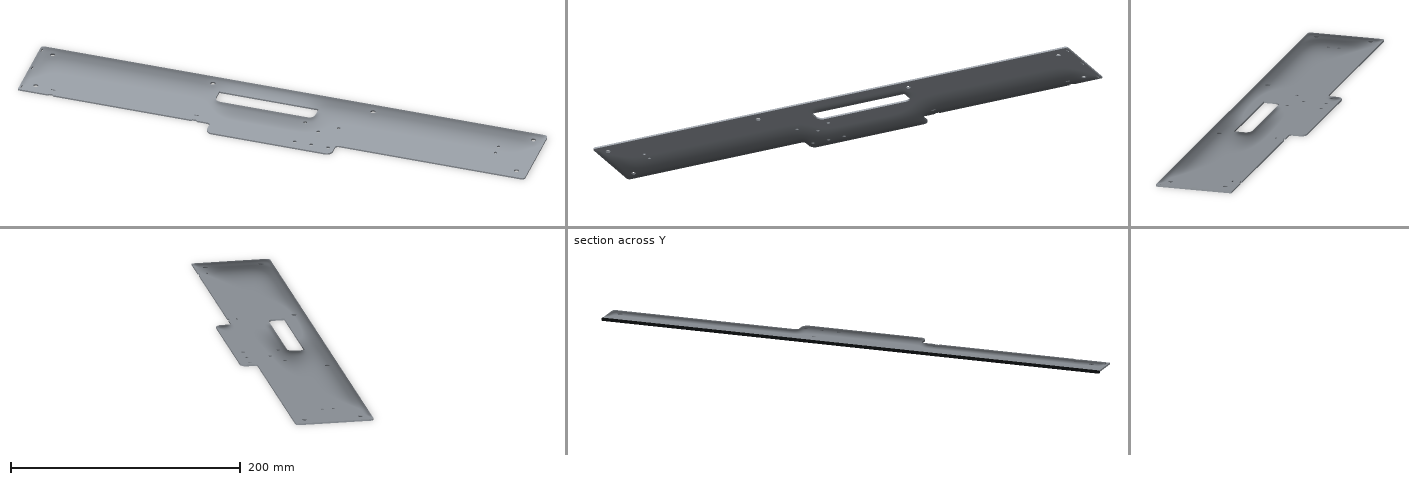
import cadquery as cq

length = 462.0
thickness = 1.5
total_width = 83.5
plate_width = 69.5
plate_corner_radius = 3.0

tab_left = 175.5
tab_right = 290.0
tab_depth = total_width - plate_width
tab_corner_radius = 5.5
tab_root_radius = 3.0

window_left = 168.5
window_right = 259.0
window_top = plate_width - 21.0
window_bottom = plate_width - 35.5
window_corner_radius = 5.5

mount_diameter = 4.4
mount_columns = 4
mount_margin = 10.0
mount_first_x = 13.5
mount_last_x = length - mount_margin
mount_pitch = (mount_last_x - mount_first_x) / (mount_columns - 1)
mount_upper_y = plate_width - mount_margin
mount_lower_y = 9.5

bracket_diameter = 3.15
bracket_center_x = 269.5
bracket_pitch = 15.2
bracket_upper_y = 26.0
bracket_middle_y = 15.5
bracket_lower_y = -5.0

pair_diameter = 3.0
pair_x = 426.0
pair_center_y = 35.5
pair_spacing = 9.5

slot_length = 4.0
slot_width = 1.15
notch_depth = 1.15
lower_slot_x = (30.0, 161.0)
lower_slot_y = 8.0
left_slot_x = 2.5
left_slot_y = (4.5, plate_width / 2, plate_width - 6.0)


def slab(left, right, bottom, top):
    """Rectangular block as thick as the plate."""
    block = cq.Workplane("XY").box(right - left, top - bottom, thickness, centered=False)
    return block.translate((left, bottom, 0))


def slot(center_x, center_y, size_x, size_y):
    """Rectangular through cutter around a centre point."""
    return cq.Workplane("XY").center(center_x, center_y).rect(size_x, size_y).extrude(thickness)


def round_holes(points, diameter):
    """Round through cutters at the given points."""
    return cq.Workplane("XY").pushPoints(points).circle(diameter / 2).extrude(thickness)


def make_blank():
    """Plate and tab; the lower left plate corner stays sharp."""
    plate = slab(0, length, 0, plate_width)
    plate = plate.edges("|Z and (>X or >Y)").fillet(plate_corner_radius)
    tab = slab(tab_left, tab_right, -tab_depth, plate_width / 2)
    tab = tab.edges("|Z and <Y").fillet(tab_corner_radius)
    reach = tab_root_radius / 2
    roots = cq.selectors.BoxSelector(
        (tab_left - reach, -reach, 0),
        (tab_right + reach, reach, thickness),
    )
    return plate.union(tab).edges("|Z").edges(roots).fillet(tab_root_radius)


def make_window():
    window = slab(window_left, window_right, window_bottom, window_top)
    return window.edges("|Z and <Y").fillet(window_corner_radius)


def mount_points():
    columns = [mount_first_x + i * mount_pitch for i in range(mount_columns)]
    upper_row = [(x, mount_upper_y) for x in columns]
    lower_row = [(x, mount_lower_y) for x in (columns[0], columns[-1])]
    return upper_row + lower_row


def bracket_points():
    points = [(bracket_center_x, bracket_middle_y), (bracket_center_x, bracket_lower_y)]
    for side in (-1, 1):
        x = bracket_center_x + side * bracket_pitch
        points += [(x, bracket_upper_y), (x, bracket_lower_y)]
    return points


def pair_points():
    return [(pair_x, pair_center_y + side * pair_spacing / 2) for side in (-1, 1)]


result = make_blank().cut(make_window())
result = result.cut(round_holes(mount_points(), mount_diameter))
result = result.cut(round_holes(bracket_points(), bracket_diameter))
result = result.cut(round_holes(pair_points(), pair_diameter))

for x in lower_slot_x:
    result = result.cut(slot(x, lower_slot_y, slot_length, slot_width))
    result = result.cut(slot(x, notch_depth / 2, slot_length, notch_depth))

for y in left_slot_y:
    result = result.cut(slot(left_slot_x, y, slot_width, slot_length))